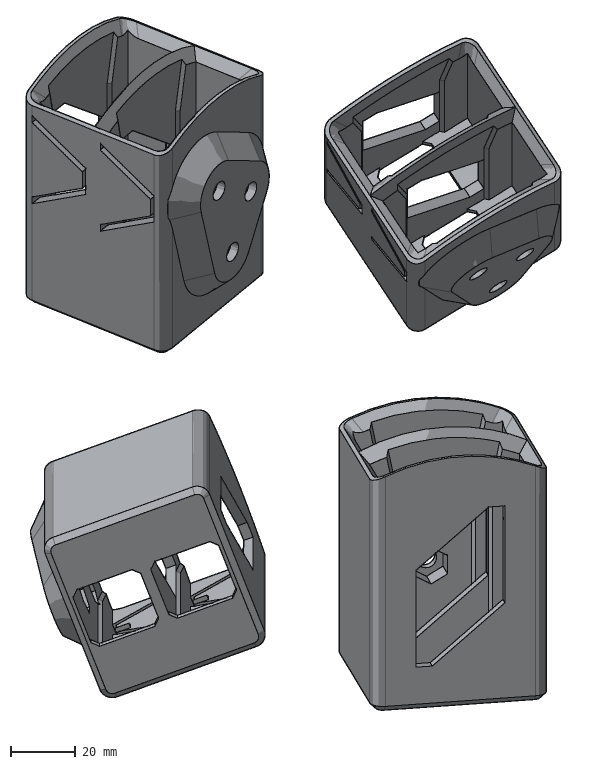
import cadquery as cq
import math

BOX_X = 54.65
BOX_Y = 56.0
HEIGHT = 82.8
CORNER_RADIUS = 4.1
BOTTOM_CHAMFER = 2.0
CROWN_DROP = 6.8

WALL = 4.2
DIVIDER = 5.55
FLOOR = 2.8
RIM = 1.25
FLARE_DEPTH = 4.8
FLARE_OVERRUN = 16.6
FLARE_CORNER_RADIUS = 4.1
CROWN_OVERHANG = 9.9
CLEARANCE = 4.1

RECESS_DEPTH = 1.1
RECESS_HALF_WIDTH = 14.2
RECESS_BEND_Z = 59.6
RECESS_WIDENING = 0.2

OPENING_Y = 19.9
OPENING_CHAMFER = 2.1

WINDOW_HALF_WIDTH = 14.1
WINDOW_FLAT = 5.1
WINDOW_BOTTOM_Z = 14.25
WINDOW_TOP_Z = 65.5
WINDOW_SIDE = 32.05

FINGER_Z = 55.4
FINGER_SLOPE = math.radians(30)
SLOT_TIP_HALF = 5.0
FINGER_TIP_HALF = 3.15
SLOT_TIP_WIDTH = 1.25
CATCH_WIDTH = 4.8
CATCH_DEPTH = 1.6
CATCH_RISE = 2.7
CATCH_BOTTOM_Z = 51.1

BOSS_HEIGHT = 6.95
BOSS_TOP_RADIUS = 10.0
BOSS_SINK = 0.4
SCREW_HOLE = 6.4
NUT_ACROSS_FLATS = 10.4
NUT_SEAT = 3.0
SCREWS = [
    (-8.6, 55.65, 0),
    (8.5, 45.55, 0),
    (-1.3, 28.2, 30),
]

half_x = BOX_X / 2
half_y = BOX_Y / 2
cavity_x = (BOX_X - 2 * WALL - DIVIDER) / 2
cavity_half_y = half_y - WALL
mouth_half_y = half_y - RIM
pitch = cavity_x + DIVIDER
compartment_centres = [-pitch / 2, pitch / 2]
cut_top = HEIGHT + CLEARANCE
sky_z = cut_top + FLARE_OVERRUN
crown_radius = (half_y**2 + CROWN_DROP**2) / (2 * CROWN_DROP)


def crown_z(y):
    """Height of the arched top edge at a given Y."""
    return HEIGHT - crown_radius + math.sqrt(crown_radius**2 - y**2)


def yz_plane(x):
    """Plane square to X whose sketch axes are Y and Z."""
    return cq.Workplane("YZ", origin=(x, 0, 0))


def above_crown(x, drop):
    """Sketch of everything above the arched top edge lowered by drop."""
    reach = half_y + CROWN_OVERHANG
    edge_z = crown_z(reach) - drop
    return (
        yz_plane(x)
        .moveTo(-reach, edge_z)
        .threePointArc((0, HEIGHT - drop), (reach, edge_z))
        .lineTo(reach, sky_z)
        .lineTo(-reach, sky_z)
        .close()
    )


def make_box():
    block = cq.Workplane("XY").box(BOX_X, BOX_Y, HEIGHT, centered=(True, True, False))
    block = block.edges("|Z").fillet(CORNER_RADIUS)
    block = block.faces("<Z").chamfer(BOTTOM_CHAMFER)
    return block.cut(above_crown(-half_x, 0).extrude(BOX_X))


def make_boss():
    corners = [(y, z) for y, z, _ in SCREWS]
    base_radius = BOSS_TOP_RADIUS + BOSS_HEIGHT + BOSS_SINK
    base = yz_plane(half_x - BOSS_SINK).polyline(corners).close().offset2D(base_radius)
    top = yz_plane(half_x + BOSS_HEIGHT).polyline(corners).close().offset2D(BOSS_TOP_RADIUS)
    wires = [base.val(), top.val()]
    return cq.Workplane(obj=cq.Solid.makeLoft(wires, True))


def make_cavity(centre):
    base = cq.Workplane("XY", origin=(centre, 0, FLOOR))
    return base.rect(cavity_x, 2 * cavity_half_y).extrude(cut_top - FLOOR)


def make_flare(centre):
    """Sloped mouth that follows the arched top edge and thins the walls to the rim.

    The slopes run on above the top edge so that the rounded corners meet it cleanly.
    """
    side = math.copysign(1, centre)
    inner_wall = centre - side * cavity_x / 2
    outer_wall = centre + side * cavity_x / 2
    overrun = 1 + FLARE_OVERRUN / FLARE_DEPTH
    inner_mouth = inner_wall - side * overrun * DIVIDER / 2
    outer_mouth = outer_wall + side * overrun * (WALL - RIM)
    sections = [
        (inner_mouth, -FLARE_OVERRUN),
        (inner_wall, FLARE_DEPTH),
        (outer_wall, FLARE_DEPTH),
        (outer_mouth, -FLARE_OVERRUN),
    ]
    wires = [above_crown(x, drop).val() for x, drop in sections]
    along_crown = cq.Workplane(obj=cq.Solid.makeLoft(wires, True))

    lower_z = crown_z(cavity_half_y) - FLARE_DEPTH
    slope = (crown_z(mouth_half_y) - lower_z) / (mouth_half_y - cavity_half_y)
    top_half_y = cavity_half_y + (cut_top - lower_z) / slope
    right = [(cavity_half_y, FLOOR), (cavity_half_y, lower_z), (top_half_y, cut_top)]
    left = [(-y, z) for y, z in reversed(right)]
    front_to_back = yz_plane(-BOX_X).polyline(right + left).close().extrude(2 * BOX_X)

    flare = along_crown.intersect(front_to_back)
    for end in (-1, 1):
        near = (outer_wall, end * cavity_half_y, 0)
        far = (outer_mouth, end * top_half_y, cut_top)
        corner = cq.selectors.BoxSelector(near, far)
        flare = flare.edges(corner).fillet(FLARE_CORNER_RADIUS)
    return flare


def recess_sketch(x, half_width):
    top_half_width = half_width + RECESS_WIDENING * (cut_top - RECESS_BEND_Z)
    right = [(half_width, FLOOR), (half_width, RECESS_BEND_Z), (top_half_width, cut_top)]
    left = [(-y, z) for y, z in reversed(right)]
    return yz_plane(x).polyline(right + left).close()


def make_recesses(centre):
    """Recess pair with bevelled flanks, one in each X-facing wall of a compartment."""
    low = centre - cavity_x / 2
    high = centre + cavity_x / 2
    narrow = RECESS_HALF_WIDTH
    wide = narrow + RECESS_DEPTH
    sections = [(low - RECESS_DEPTH, narrow), (low, wide), (high, wide), (high + RECESS_DEPTH, narrow)]
    wires = [recess_sketch(x, half_width).val() for x, half_width in sections]
    return cq.Workplane(obj=cq.Solid.makeLoft(wires, True))


def make_opening(centre):
    """Floor opening that reaches to the bottom of both recesses."""
    opening_x = cavity_x + 2 * RECESS_DEPTH
    opening = cq.Workplane("XY", origin=(centre, 0, 0)).rect(opening_x, OPENING_Y).extrude(FLOOR)
    return opening.edges("|Z").chamfer(OPENING_CHAMFER)


def make_window():
    """Slanted window running through the -X wall and the divider."""
    flat_end = WINDOW_HALF_WIDTH - WINDOW_FLAT
    outline = [
        (WINDOW_HALF_WIDTH, WINDOW_BOTTOM_Z),
        (WINDOW_HALF_WIDTH, WINDOW_BOTTOM_Z + WINDOW_SIDE),
        (-flat_end, WINDOW_TOP_Z),
        (-WINDOW_HALF_WIDTH, WINDOW_TOP_Z),
        (-WINDOW_HALF_WIDTH, WINDOW_TOP_Z - WINDOW_SIDE),
        (flat_end, WINDOW_BOTTOM_Z),
    ]
    return yz_plane(-half_x).polyline(outline).close().extrude(half_x + DIVIDER / 2)


def make_finger_slot(centre):
    """Slot around a finger that stays joined to the wall at its -X end."""
    root = centre - cavity_x / 2
    slot_tip = centre + cavity_x / 2
    finger_tip = slot_tip - SLOT_TIP_WIDTH
    slot_root_half = SLOT_TIP_HALF + (slot_tip - root) * math.tan(FINGER_SLOPE)
    finger_root_half = FINGER_TIP_HALF + (finger_tip - root) * math.tan(FINGER_SLOPE)
    upper = [
        (root, finger_root_half),
        (root, slot_root_half),
        (slot_tip, SLOT_TIP_HALF),
    ]
    lower = [(x, -z) for x, z in reversed(upper)]
    inner = [(finger_tip, -FINGER_TIP_HALF), (finger_tip, FINGER_TIP_HALF)]
    plane = cq.Workplane("XZ", origin=(0, -cavity_half_y, FINGER_Z))
    return plane.polyline(upper + lower + inner).close().extrude(WALL)


def make_catch(centre):
    """Wedge on the inner face of a finger, flat below and sloped above."""
    tip = centre + cavity_x / 2 - SLOT_TIP_WIDTH
    wall_y = -cavity_half_y
    profile = [
        (wall_y, CATCH_BOTTOM_Z),
        (wall_y + CATCH_DEPTH, CATCH_BOTTOM_Z),
        (wall_y, CATCH_BOTTOM_Z + CATCH_RISE),
    ]
    return yz_plane(tip - CATCH_WIDTH).polyline(profile).close().extrude(CATCH_WIDTH)


def make_screw_cut(y, z, turn):
    """Screw hole through the boss with a nut pocket on the inside of the wall."""
    pocket_start = half_x - WALL
    pocket_depth = WALL + BOSS_HEIGHT - NUT_SEAT
    across_corners = NUT_ACROSS_FLATS / math.cos(math.pi / 6)
    pocket = (
        yz_plane(pocket_start)
        .center(y, z)
        .transformed(rotate=(0, 0, turn))
        .polygon(6, across_corners)
        .extrude(pocket_depth)
    )
    hole = yz_plane(pocket_start).center(y, z).circle(SCREW_HOLE / 2).extrude(WALL + BOSS_HEIGHT)
    return pocket.union(hole)


result = make_box().union(make_boss())
for centre_x in compartment_centres:
    result = result.cut(make_cavity(centre_x))
    result = result.cut(make_flare(centre_x))
    result = result.cut(make_recesses(centre_x))
    result = result.cut(make_opening(centre_x))
    result = result.cut(make_finger_slot(centre_x))
    result = result.union(make_catch(centre_x))
result = result.cut(make_window())
for screw_y, screw_z, nut_turn in SCREWS:
    result = result.cut(make_screw_cut(screw_y, screw_z, nut_turn))